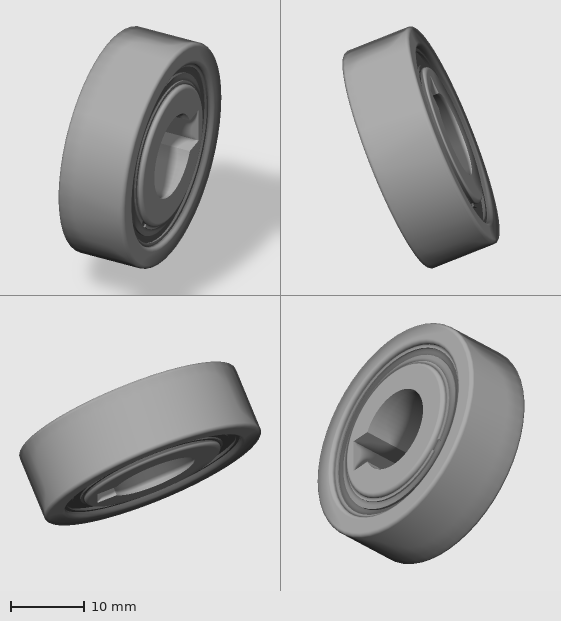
import cadquery as cq
import math

outer_diameter = 32.0
width = 10.0
outer_radius = outer_diameter / 2
face_x = -width / 2

edge_round = 0.5

bore_radius = 6.0
inner_race_radius = 10.0
retaining_ring_radius = 10.5
shield_radius = 11.52
groove_radius = 12.48
outer_race_inner_radius = 13.0

retaining_ring_depth = 0.75
shield_depth = 1.0
groove_depth = 1.35
lip_depth = 0.77

lip_thickness = 0.22

gap_span = 9.0
gap_center = 40.5

keyway_width = 5.05
keyway_reach = 8.3


def annulus(inner_radius, ring_radius, depth):
    """Ring around X starting at the left face and running inward by depth."""
    return (
        cq.Workplane("YZ", origin=(face_x, 0, 0))
        .circle(ring_radius)
        .circle(inner_radius)
        .extrude(depth)
    )


def retaining_ring_gap():
    """Radial slot that opens the retaining ring on its -Y, -Z side."""
    reach = 2 * retaining_ring_radius
    half_width = reach * math.tan(math.radians(gap_span / 2))
    wedge = (
        cq.Workplane("YZ", origin=(face_x, 0, 0))
        .polyline([(0, 0), (-reach, -half_width), (-reach, half_width)])
        .close()
        .extrude(shield_depth)
        .rotate((0, 0, 0), (1, 0, 0), gap_center)
    )
    return wedge.intersect(annulus(inner_race_radius, retaining_ring_radius, shield_depth))


def face_recess():
    """Stepped annular recess between the two races on the left face."""
    recess = annulus(inner_race_radius, retaining_ring_radius, retaining_ring_depth)
    recess = recess.union(annulus(retaining_ring_radius, shield_radius, shield_depth))
    recess = recess.union(annulus(shield_radius, groove_radius, groove_depth))
    recess = recess.union(annulus(groove_radius, outer_race_inner_radius, lip_depth))
    undercut_start = lip_depth + lip_thickness
    undercut = annulus(groove_radius, outer_race_inner_radius, groove_depth - undercut_start)
    recess = recess.union(undercut.translate((undercut_start, 0, 0)))
    return recess.union(retaining_ring_gap())


def race_blank():
    """Full-width disc with rounded rims and a rounded, plain recess on both faces."""
    blank = cq.Workplane("YZ", origin=(face_x, 0, 0)).circle(outer_radius).extrude(width)
    shallow_depth = min(retaining_ring_depth, lip_depth)
    left = annulus(inner_race_radius, outer_race_inner_radius, shallow_depth)
    blank = blank.cut(left).cut(left.mirror("YZ"))
    return blank.faces("<X or >X").edges().fillet(edge_round)


def keyed_bore():
    """Through bore with a keyway on its +Y side."""
    bore = cq.Workplane("YZ", origin=(face_x, 0, 0)).circle(bore_radius).extrude(width)
    keyway = cq.Workplane("XY").box(width, keyway_reach, keyway_width)
    return bore.union(keyway.translate((0, keyway_reach / 2, 0)))


recess = face_recess()
result = race_blank().cut(recess).cut(recess.mirror("YZ")).cut(keyed_bore())